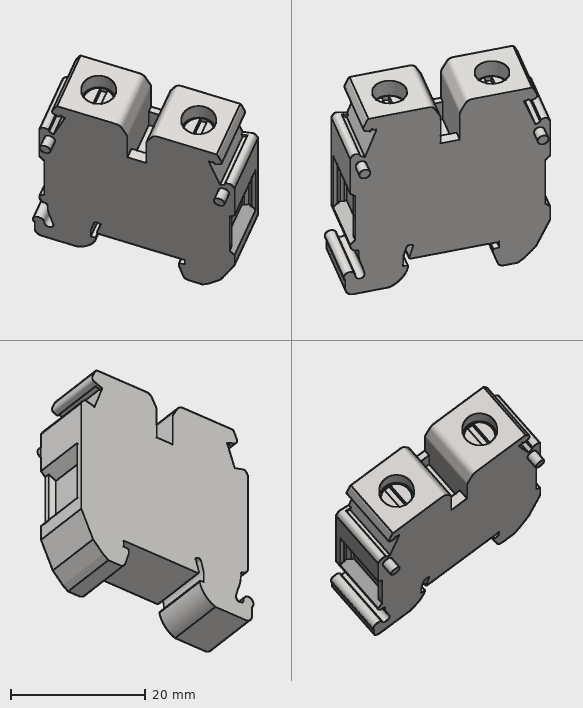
import cadquery as cq


height = 33.8
half_length = 15.5
thickness = 10.0
split_z = 10.15

slot_half_width = 1.5
slot_floor_z = 26.3
slot_mouth_z = 31.33
slot_pocket_front = 1.7
slot_pocket_back_wall = 1.0
slot_pocket_depth = 3.38

groove_back_wall = 0.55
lip_corner = (-11.6, 30.93)
shoulder_corner = (-13.05, 26.95)

screw_x = 7.95
screw_hole_diameter = 5.2
screw_diameter = 5.0
screw_sink = 2.7
screw_chamfer = 0.2
screw_slot_width = 1.15
screw_slot_depth = 1.0

pin_x = 13.82
pin_z = 24.9
pin_diameter = 1.7
pin_length = 2.0

entry_bottom_z = 9.8
entry_top_z = 19.85
entry_depth = 1.8
entry_front_depth = 0.78
entry_front_wall = 0.9
entry_floor_front = 1.32
entry_back_wall = 1.05
entry_ledge_depth = 0.65
entry_ledge_width = 0.1
entry_wall_depth = 1.05
entry_bevel_depth = 1.5
entry_bevel_width = 0.68
entry_floor_back = 2.05


def through_thickness(outline, front=0.0, back=thickness):
    """Extrude a closed XZ outline from y = front to y = back."""
    return outline.extrude(front - back).translate((0, front, 0))


def both_ends(shape):
    """Join a shape on the -X side with its mirror image."""
    return shape.union(shape.mirror("YZ"))


def neck_point(z):
    """Point at height z on the straight line of the slanted left neck."""
    slope = (lip_corner[0] - shoulder_corner[0]) / (lip_corner[1] - shoulder_corner[1])
    return (shoulder_corner[0] + slope * (z - shoulder_corner[1]), z)


def upper_half():
    """Left half of the block above split_z: side wall, shoulder, neck and head."""
    outline = (
        cq.Workplane("XZ")
        .moveTo(0, split_z)
        .lineTo(-half_length, split_z)
        .lineTo(-half_length, 26.6)
        .lineTo(-15.28, 26.97)
        .threePointArc((-14.8, 27.35), (-14.3, 27.28))
        .lineTo(*shoulder_corner)
        .lineTo(*lip_corner)
        .lineTo(-13.08, 31.5)
        .tangentArcPoint((-13.42, 32.38), relative=False)
        .lineTo(-12.9, 33.5)
        .lineTo(-12.68, height)
        .lineTo(-3.38, height)
        .tangentArcPoint((-2.35, 33.2), relative=False)
        .lineTo(-1.65, 31.9)
        .tangentArcPoint((-slot_half_width, slot_mouth_z), relative=False)
        .lineTo(-slot_half_width, slot_floor_z)
        .lineTo(0, slot_floor_z)
        .close()
    )
    return through_thickness(outline)


def foot():
    """Lower part: spring hook and claw on the left, fixed claw on the right."""
    outline = (
        cq.Workplane("XZ")
        .moveTo(half_length, split_z)
        .lineTo(-half_length, split_z)
        .lineTo(-half_length, 9.6)
        .tangentArcPoint((-15.3, 9.0), relative=False)
        .lineTo(-15.15, 8.75)
        .tangentArcPoint((-14.77, 8.55), relative=False)
        .lineTo(-14.67, 8.55)
        .tangentArcPoint((-14.2, 8.0), relative=False)
        .threePointArc((-14.05, 6.45), (-13.62, 5.05))
        .lineTo(-13.32, 3.82)
        .threePointArc((-14.0, 2.85), (-14.7, 3.58))
        .threePointArc((-15.6, 4.5), (-16.25, 2.95))
        .lineTo(-16.25, 1.25)
        .tangentArcPoint((-15.0, 0), relative=False)
        .lineTo(-9.43, 0)
        .threePointArc((-7.47, 1.4), (-6.5, 3.35))
        .lineTo(-6.6, 3.58)
        .lineTo(-7.3, 3.65)
        .lineTo(-7.3, 5.27)
        .lineTo(-6.8, 7.2)
        .threePointArc((-6.2, 7.57), (-5.75, 7.25))
        .lineTo(-6.4, 5.0)
        .lineTo(-6.25, 4.8)
        .lineTo(7.6, 4.8)
        .lineTo(7.6, 3.72)
        .lineTo(6.7, 3.6)
        .lineTo(6.7, 2.8)
        .lineTo(7.35, 0.75)
        .tangentArcPoint((8.35, 0), relative=False)
        .lineTo(10.48, 0)
        .lineTo(11.45, 0.7)
        .lineTo(13.32, 2.6)
        .lineTo(half_length, 7.27)
        .close()
    )
    return through_thickness(outline)


def marker_grooves():
    """Undercuts below the head lip and in the shoulder, closed by a thin back wall."""
    lip_groove = (
        cq.Workplane("XZ")
        .polyline([neck_point(30.75), (-12.57, 31.13), (-12.15, 31.6), neck_point(31.33)])
        .close()
    )
    shoulder_groove = (
        cq.Workplane("XZ")
        .polyline([neck_point(27.05), (-14.1, 27.38), (-13.93, 26.85), neck_point(26.43)])
        .close()
    )
    groove_end = thickness - groove_back_wall
    lip_cut = through_thickness(lip_groove, back=groove_end)
    shoulder_cut = through_thickness(shoulder_groove, back=groove_end)
    return both_ends(lip_cut.union(shoulder_cut))


def wire_entries():
    """Funnel pockets: end walls sloped at 45 degrees in Z, back wall stepped and bevelled in Y."""
    outer_x = -half_length
    floor_x = outer_x + entry_depth
    funnel = (
        cq.Workplane("XZ")
        .moveTo(outer_x, entry_bottom_z)
        .lineTo(floor_x, entry_bottom_z + entry_depth)
        .lineTo(floor_x, entry_top_z - entry_depth)
        .lineTo(outer_x, entry_top_z)
        .close()
    )
    back_y = thickness - entry_back_wall
    ledge_y = back_y - entry_ledge_width
    section = (
        cq.Workplane("XY")
        .moveTo(outer_x, 0)
        .lineTo(outer_x + entry_front_depth, 0)
        .lineTo(outer_x + entry_front_depth, entry_front_wall)
        .lineTo(floor_x, entry_floor_front)
        .lineTo(floor_x, thickness - entry_floor_back)
        .lineTo(outer_x + entry_bevel_depth, ledge_y - entry_bevel_width)
        .lineTo(outer_x + entry_wall_depth, ledge_y)
        .lineTo(outer_x + entry_ledge_depth, ledge_y)
        .lineTo(outer_x + entry_ledge_depth, back_y)
        .lineTo(outer_x, back_y)
        .close()
        .extrude(height)
    )
    return both_ends(through_thickness(funnel).intersect(section))


def slot_pocket():
    """Rectangular pocket in the floor of the slot between the heads."""
    length_y = thickness - slot_pocket_front - slot_pocket_back_wall
    return (
        cq.Workplane("XY")
        .box(2 * slot_half_width, length_y, slot_pocket_depth, centered=(True, False, False))
        .translate((0, slot_pocket_front, slot_floor_z - slot_pocket_depth))
    )


def disc(diameter, bottom_z, top_z):
    """Vertical round bar about the Z axis between two heights."""
    return cq.Workplane("XY").workplane(offset=bottom_z).circle(diameter / 2).extrude(top_z - bottom_z)


def screw_wells():
    """Round wells whose floors leave a chamfered, slotted screw head standing."""
    screw_top_z = height - screw_sink
    well_floor_z = screw_top_z - screw_chamfer
    slot_bottom_z = screw_top_z - screw_slot_depth
    well = disc(screw_hole_diameter, well_floor_z, height)
    screw_head = disc(screw_diameter, slot_bottom_z, screw_top_z).faces(">Z").chamfer(screw_chamfer)
    driver_blade = cq.Workplane("XY").box(screw_slot_width, screw_hole_diameter, 2 * height)
    driver_slot = screw_head.intersect(driver_blade)
    cutter = well.cut(screw_head).union(driver_slot)
    return both_ends(cutter.translate((-screw_x, thickness / 2, 0)))


def pins():
    """Locating pins standing out of the front face."""
    return (
        cq.Workplane("XZ")
        .pushPoints([(-pin_x, pin_z), (pin_x, pin_z)])
        .circle(pin_diameter / 2)
        .extrude(pin_length)
    )


block = both_ends(upper_half()).union(foot()).clean()
block = block.cut(marker_grooves()).cut(wire_entries())
block = block.cut(slot_pocket()).cut(screw_wells())
result = block.union(pins())